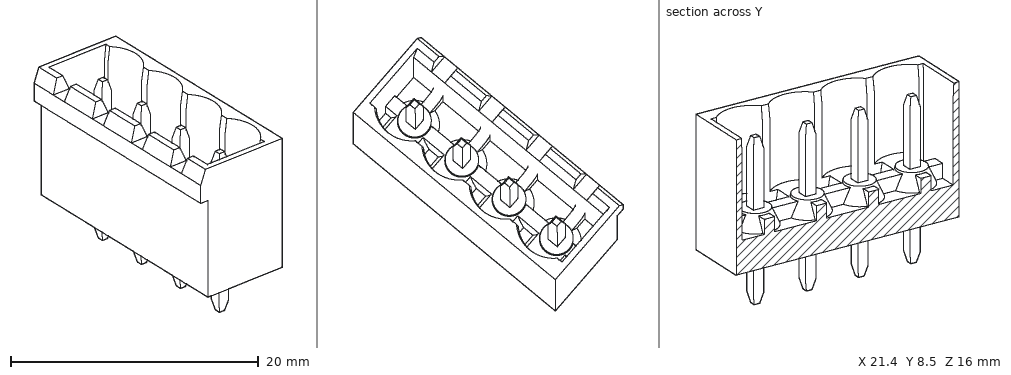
import cadquery as cq

pin_count = 4
pitch = 5.0
first_pin_x = -pitch * (pin_count - 1) / 2
pin_xs = [first_pin_x + i * pitch for i in range(pin_count)]

length = 21.4
depth = 8.5
height = 12.0
back_y = 3.92
lip_y = back_y - depth
lip_overhang = 0.75
front_y = lip_y + lip_overhang
lip_height = 3
lip_chamfer_depth = 0.5
rim_height = 1.33
rim_z = height - rim_height

cavity_half_length = 10.1
cavity_back_y = 2.27
cavity_front_y = -2.93
mouth_half_length = 10.16
mouth_back_y = 2.46
mouth_front_y = -3.47
floor_z = 3

scallop_radius = 3
scallop_y = 0.17
scallop_mouth_y = 0.39

step_height = 1.33
step_z = floor_z + step_height
step_front_y = -0.58
pit_front_y = -step_front_y
pit_top_half_gap = 1.4
pit_kink_half_gap = 1.58
pit_floor_half_gap = 2.01
pit_depth = 2.65
pit_floor_z = step_z - pit_depth
pit_kink_depth = 1.15
pit_kink_z = step_z - pit_kink_depth

boss_base_radius = pit_floor_half_gap
boss_top_radius = pit_top_half_gap
collar_radius = 1.35
collar_height = 0.2
rib_end_radius = 0.95
rib_width = 1.0

notch_top_width = 1.75
notch_floor_width = 1.41

pin_width = 1.0
pin_tip_width = 0.54
pin_taper = 1.0
pin_bottom_z = -4.0
pin_rise_above_rim = 0.1
pin_top_z = rim_z + pin_rise_above_rim


def box(x0, x1, y0, y1, z0, z1):
    return cq.Workplane("XY").box(x1 - x0, y1 - y0, z1 - z0, centered=False).translate((x0, y0, z0))


def extrude_x(points, x0, x1):
    """Extrude a closed outline of (y, z) points from x0 to x1."""
    return cq.Workplane("YZ").workplane(offset=x0).polyline(points).close().extrude(x1 - x0)


def extrude_y(points, y0, y1):
    """Extrude a closed outline of (x, z) points from y0 to y1."""
    return cq.Workplane("XZ").workplane(offset=-y1).polyline(points).close().extrude(y1 - y0)


def frustum(x, y, z, bottom_radius, dz, top_radius, top_y):
    """Round solid of height dz standing at z, leaning from y at the bottom to top_y at the top."""
    return (
        cq.Workplane("XY").workplane(offset=z).center(x, y).circle(bottom_radius)
        .workplane(offset=dz).center(0, top_y - y).circle(top_radius).loft()
    )


def housing():
    lip_bottom_z = height - lip_height
    profile = [
        (back_y, 0),
        (back_y, height),
        (lip_y + lip_chamfer_depth, height),
        (lip_y, rim_z),
        (lip_y, lip_bottom_z),
        (front_y, lip_bottom_z),
        (front_y, 0),
    ]
    return extrude_x(profile, -length / 2, length / 2)


def cavity():
    lower = box(-cavity_half_length, cavity_half_length, cavity_front_y, cavity_back_y, floor_z, rim_z)
    cavity_mid_y = (cavity_front_y + cavity_back_y) / 2
    mouth_mid_y = (mouth_front_y + mouth_back_y) / 2
    flare = (
        cq.Workplane("XY").workplane(offset=rim_z).center(0, cavity_mid_y)
        .rect(2 * cavity_half_length, cavity_back_y - cavity_front_y)
        .workplane(offset=rim_height).center(0, mouth_mid_y - cavity_mid_y)
        .rect(2 * mouth_half_length, mouth_back_y - mouth_front_y)
        .loft()
    )
    return lower.union(flare)


def scallop(x):
    lower = cq.Workplane("XY").workplane(offset=step_z).center(x, scallop_y)
    lower = lower.circle(scallop_radius).extrude(rim_z - step_z)
    flare = frustum(x, scallop_y, rim_z, scallop_radius, rim_height, scallop_radius, scallop_mouth_y)
    keep = box(-cavity_half_length, cavity_half_length, 0, back_y, step_z, height)
    return lower.union(flare).intersect(keep)


def notch(x):
    half_floor = notch_floor_width / 2
    half_top = notch_top_width / 2
    outline = [
        (x - half_floor, rim_z),
        (x + half_floor, rim_z),
        (x + half_top, height),
        (x - half_top, height),
    ]
    return extrude_y(outline, lip_y, cavity_front_y)


def step():
    return box(-cavity_half_length, cavity_half_length, step_front_y, cavity_back_y, floor_z, step_z)


def pit(left_pin_x, right_pin_x):
    outline = [
        (left_pin_x + pit_top_half_gap, step_z),
        (left_pin_x + pit_kink_half_gap, pit_kink_z),
        (left_pin_x + pit_floor_half_gap, pit_floor_z),
        (right_pin_x - pit_floor_half_gap, pit_floor_z),
        (right_pin_x - pit_kink_half_gap, pit_kink_z),
        (right_pin_x - pit_top_half_gap, step_z),
    ]
    return extrude_y(outline, pit_front_y, cavity_back_y)


def pits():
    keep = box(-cavity_half_length, cavity_half_length, pit_front_y, cavity_back_y, pit_floor_z, step_z)
    edges = [pin_xs[0] - pitch] + pin_xs + [pin_xs[-1] + pitch]
    cut = pit(edges[0], edges[1])
    for left_x, right_x in zip(edges[1:], edges[2:]):
        cut = cut.union(pit(left_x, right_x))
    return cut.intersect(keep)


def boss(x):
    cone = frustum(x, 0, floor_z, boss_base_radius, step_height, boss_top_radius, 0)
    cone = cone.cut(box(x - pitch / 2, x + pitch / 2, step_front_y, back_y, floor_z, step_z))
    collar = frustum(x, 0, step_z, boss_top_radius, collar_height, collar_radius, 0)
    return cone.union(collar)


def rib(x):
    outline = (
        cq.Workplane("YZ").workplane(offset=x - rib_width / 2)
        .moveTo(0, floor_z).lineTo(cavity_front_y, floor_z)
        .lineTo(cavity_front_y, step_z + rib_end_radius)
        .radiusArc((cavity_front_y + rib_end_radius, step_z), -rib_end_radius)
        .lineTo(0, step_z).close()
    )
    return outline.extrude(rib_width)


def pin(x):
    def square(z, width, dz, end_width):
        return (
            cq.Workplane("XY").workplane(offset=z).center(x, 0).rect(width, width)
            .workplane(offset=dz).rect(end_width, end_width).loft()
        )

    shank_bottom = pin_bottom_z + pin_taper
    shank_top = pin_top_z - pin_taper
    shank = square(shank_bottom, pin_width, shank_top - shank_bottom, pin_width)
    lower_tip = square(pin_bottom_z, pin_tip_width, pin_taper, pin_width)
    upper_tip = square(shank_top, pin_width, pin_taper, pin_tip_width)
    return shank.union(lower_tip).union(upper_tip)


result = housing().cut(cavity())
for pin_x in pin_xs:
    result = result.cut(scallop(pin_x)).cut(notch(pin_x))
result = result.union(step()).cut(pits())
for pin_x in pin_xs:
    result = result.union(boss(pin_x)).union(rib(pin_x)).union(pin(pin_x))